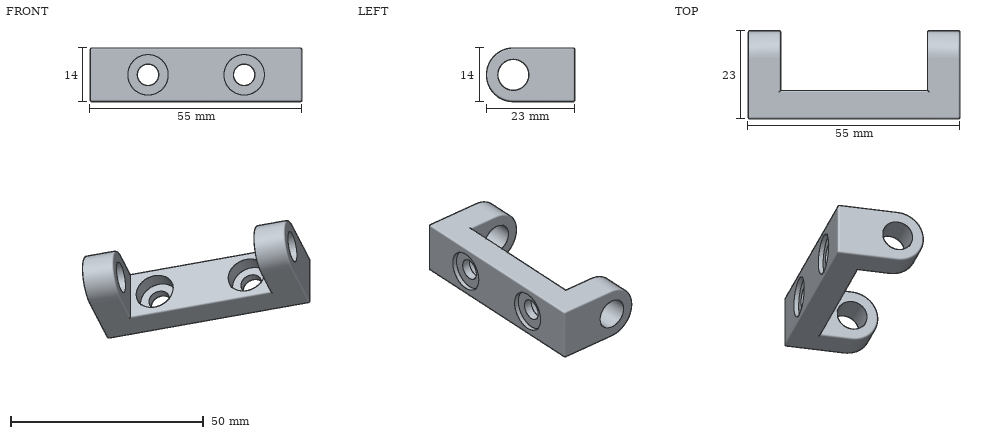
import cadquery as cq

length = 55.0
depth = 23.0
height = 14.0

arm_width = 8.45
base_thickness = 7.5
edge_radius = 0.5
end_radius = height / 2

pivot_diameter = 8.0
pivot_y = depth - end_radius

hole_spacing = 24.95
hole_diameter = 5.5
front_recess_diameter = 10.5
front_recess_depth = 1.25
rear_recess_diameter = 10.0
web_thickness = 2.25


def cylinder_along_y(x, start_y, end_y, diameter):
    """Cylinder at mid-height, running from start_y to end_y."""
    return cq.Workplane(cq.Solid.makeCylinder(
        diameter / 2,
        end_y - start_y,
        cq.Vector(x, start_y, height / 2),
        cq.Vector(0, 1, 0),
    ))


def make_body():
    """U-shaped bracket with rounded arm ends and softened outer edges."""
    side_profile = (
        cq.Workplane("YZ")
        .moveTo(0, 0)
        .lineTo(pivot_y, 0)
        .threePointArc((depth, height / 2), (pivot_y, height))
        .lineTo(0, height)
        .close()
    )
    body = side_profile.extrude(length)
    gap = cq.Workplane("XY").box(
        length - 2 * arm_width, depth - base_thickness, height, centered=False
    ).translate((arm_width, base_thickness, 0))
    body = body.cut(gap)

    side_and_front_rims = body.faces("|X or <Y").edges()
    base_rear_rims = body.faces(cq.selectors.NearestToPointSelector(
        (length / 2, base_thickness, height / 2)
    )).edges("|X")
    inner_corners = body.edges("|Z").edges(">Y").vals()
    rounded_edges = [
        edge
        for edge in side_and_front_rims.vals() + base_rear_rims.vals()
        if not any(edge.isSame(corner) for corner in inner_corners)
    ]
    return body.newObject(rounded_edges).fillet(edge_radius)


def cut_mounting_hole(body, x):
    """Cut one hole with a shallow front recess and a deep rear recess."""
    rear_floor = front_recess_depth + web_thickness
    body = body.cut(cylinder_along_y(x, 0, base_thickness, hole_diameter))
    body = body.cut(cylinder_along_y(x, 0, front_recess_depth, front_recess_diameter))
    return body.cut(cylinder_along_y(x, rear_floor, base_thickness, rear_recess_diameter))


result = make_body()
pivot_bore = (
    cq.Workplane("YZ")
    .center(pivot_y, height / 2)
    .circle(pivot_diameter / 2)
    .extrude(length)
)
result = result.cut(pivot_bore)
for side in (-1, 1):
    result = cut_mounting_hole(result, length / 2 + side * hole_spacing / 2)